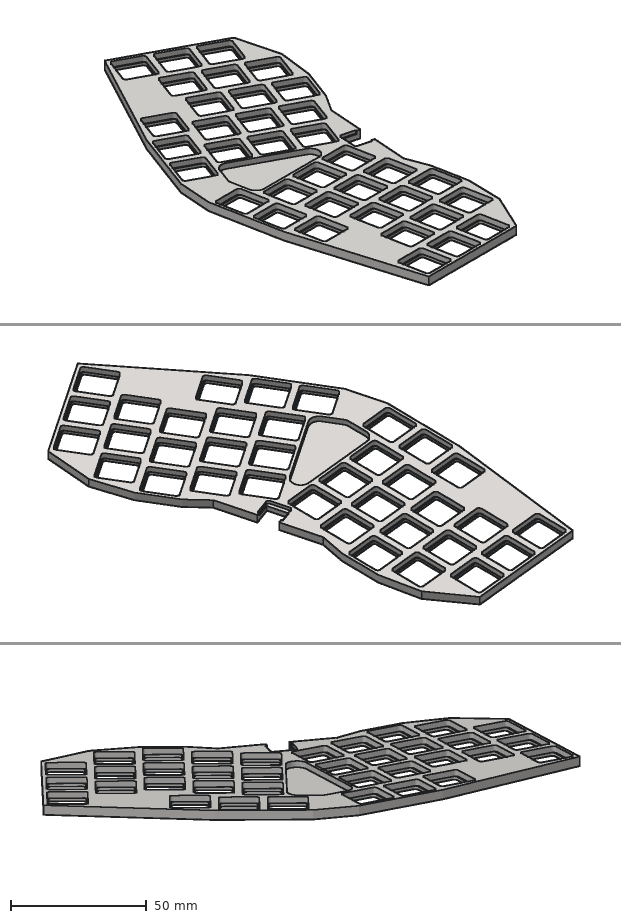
import cadquery as cq
import math

half_width = 102.7
clip_thickness = 1.3
recess_depth = 2.5
thickness = clip_thickness + recess_depth

splay_angle = 15.0
column_span = 72.1
column_count = 5
column_pitch = column_span / (column_count - 1)
row_span = 34.0
rows_per_column = 3
row_pitch = row_span / (rows_per_column - 1)
column_half_height = rows_per_column * row_pitch / 2
middle_home = 3.5
inner_home = middle_home - 6.2
index_home = middle_home - 4.1
ring_home = middle_home - 4.0
pinky_home = middle_home - 16.0
thumb_home = middle_home - 40.0
outer_thumb_rise = 2.0

clip_hole_size = 14.0
side_clearance = 0.51
end_clearance = 0.05
recess_width = clip_hole_size + 2 * side_clearance
recess_height = clip_hole_size + 2 * end_clearance
hole_corner_radius = 1.2

pocket_side = 6.2
pocket_bottom = -28.0
pocket_corner_radius = 4.1

back_edge = 34.0
back_edge_half_length = 22.8
notch_half_width = 4.5
notch_floor = 26.3
notch_recess_half_width = 5.1
notch_recess_floor = 24.7
notch_recess_depth = 1.5
notch_recess_top = 32.3
notch_recess_corner_radius = 1.0

cos_splay = math.cos(math.radians(splay_angle))
sin_splay = math.sin(math.radians(splay_angle))

pinky_cell_bottom = pinky_home - column_half_height
outer_edge = (half_width + pinky_cell_bottom * sin_splay) / cos_splay
pinky_column = outer_edge - column_pitch / 2
inner_column = pinky_column - column_span


def to_plate(u, v):
    """Plate X, Y of a point on the tilted axes of the right half."""
    return (u * cos_splay - v * sin_splay, u * sin_splay + v * cos_splay)


def mirrored(right_points):
    """Closed outline: the right-half points, then their mirror images in reverse."""
    return right_points + [(-x, y) for x, y in reversed(right_points)]


def key_centres():
    """Tilted-axis centres of all keys of the right half."""
    centres = []
    homes = [inner_home, index_home, middle_home, ring_home, pinky_home]
    for column, home in enumerate(homes):
        for row in (-1, 0, 1):
            centres.append((inner_column + column * column_pitch, home + row * row_pitch))
    first_thumb = inner_column - column_pitch / 2
    for thumb, rise in enumerate([0.0, 0.0, outer_thumb_rise]):
        centres.append((first_thumb + thumb * column_pitch, thumb_home + rise))
    return centres


def make_plate():
    ring_edge = pinky_column - column_pitch / 2
    middle_edge = ring_edge - column_pitch
    index_edge = middle_edge - column_pitch
    thumb_bottom = thumb_home - row_pitch / 2
    inner_thumb_edge = inner_column - column_pitch
    outline = mirrored([
        (notch_half_width, notch_floor),
        (notch_half_width, back_edge),
        (back_edge_half_length, back_edge),
        to_plate(index_edge, middle_home + column_half_height),
        to_plate(middle_edge, middle_home + column_half_height),
        to_plate(ring_edge, ring_home + column_half_height),
        to_plate(outer_edge, pinky_home + column_half_height),
        to_plate(outer_edge, pinky_cell_bottom),
        to_plate(inner_thumb_edge + 2 * column_pitch, thumb_bottom),
        to_plate(inner_thumb_edge, thumb_bottom),
    ])
    return cq.Workplane("XY").polyline(outline).close().extrude(thickness)


def make_switch_openings():
    """All switch openings of the right half, on the tilted axes turned into place."""
    layout = cq.Workplane("XY").pushPoints(key_centres())
    clip_holes = (
        layout.rect(clip_hole_size, clip_hole_size)
        .extrude(thickness)
        .edges("|Z")
        .fillet(hole_corner_radius)
    )
    recesses = (
        layout.rect(recess_width, recess_height)
        .extrude(recess_depth)
        .edges("|Z")
        .fillet(hole_corner_radius)
        .translate((0, 0, clip_thickness))
    )
    return clip_holes.union(recesses).rotate((0, 0, 0), (0, 0, 1), splay_angle)


def make_centre_pocket():
    outline = [
        (0, pocket_side / sin_splay),
        to_plate(pocket_side, pocket_bottom),
        (0, pocket_bottom / cos_splay),
    ]
    right_corner_x, corner_y = outline[1]
    outline.append((-right_corner_x, corner_y))
    return (
        cq.Workplane("XY", origin=(0, 0, clip_thickness))
        .polyline(outline)
        .close()
        .extrude(recess_depth)
        .edges("|Z")
        .fillet(pocket_corner_radius)
    )


def make_notch_recess():
    """Shallow shelf around the notch, set in from the back edge."""
    length = notch_recess_top - notch_recess_floor
    shelf_level = thickness - notch_recess_depth
    return (
        cq.Workplane("XY", origin=(0, notch_recess_floor + length / 2, shelf_level))
        .rect(2 * notch_recess_half_width, length)
        .extrude(notch_recess_depth)
        .edges("|Z and <Y")
        .fillet(notch_recess_corner_radius)
    )


right_openings = make_switch_openings()
result = (
    make_plate()
    .cut(right_openings)
    .cut(right_openings.mirror("YZ"))
    .cut(make_centre_pocket())
    .cut(make_notch_recess())
)